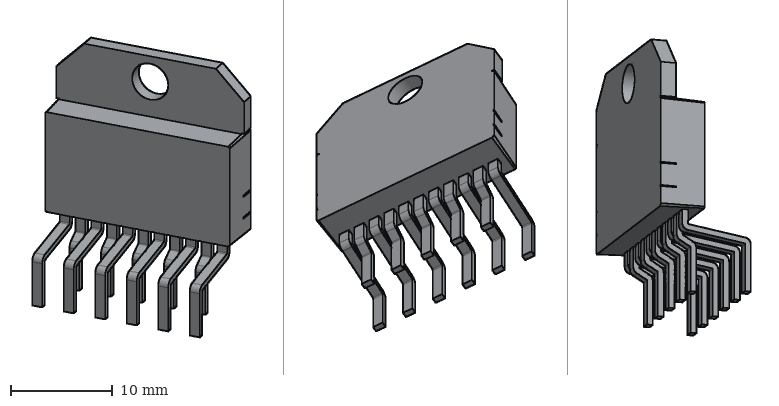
import cadquery as cq
import math

height = 25.3
width = 20.28
depth = 9.69

tab_thickness = 1.6
tab_corner_cut = 3.03
hole_diameter = 3.87
hole_below_top = 2.75

body_bottom = 7.66
body_top = 18.82
body_depth = 4.6
body_draft_angle = 2.2
body_corner_cut = 0.25

groove_heights = (9.7, 12.06)
groove_width = 0.1
groove_depth = 0.1

lead_count = 11
lead_row_length = 17.0
lead_width = 1.1
lead_thickness = 0.6
lead_bend_radius = 0.4
lead_root_y = -2.88
lead_overlap = 0.5
far_lead_y = -depth + lead_thickness / 2
far_lead_bend_height = 6.07
far_lead_slope = 8.5
near_lead_y = -4.3
near_lead_bend_height = 5.45
near_lead_slope = 29.0


def make_tab():
    """Flat plate with two cut upper corners, the mounting hole and a root buried in the body."""
    tab_height = height - body_top
    plate = (
        cq.Workplane("XZ")
        .center(0, height - tab_height / 2)
        .rect(width, tab_height)
        .extrude(tab_thickness)
        .edges("|Y and >Z")
        .chamfer(tab_corner_cut)
    )
    root = (
        cq.Workplane("XZ")
        .center(0, body_top)
        .rect(width - 2 * body_corner_cut, 2 * body_corner_cut)
        .extrude(tab_thickness)
    )
    hole = (
        cq.Workplane("XZ")
        .center(0, height - hole_below_top)
        .circle(hole_diameter / 2)
        .extrude(tab_thickness)
    )
    return plate.union(root).cut(hole)


def make_body():
    """Drafted block with cut corners."""
    body_height = body_top - body_bottom
    outline = (
        cq.Sketch()
        .rect(width, body_height)
        .vertices()
        .chamfer(body_corner_cut)
    )
    return (
        cq.Workplane("XZ", origin=(0, 0, body_bottom + body_height / 2))
        .placeSketch(outline)
        .extrude(body_depth, taper=body_draft_angle)
    )


def make_lead(x, tip_y, bend_height, slope):
    """Flat strip that leaves the body, slopes outwards and then drops to Z = 0."""
    drop = abs(tip_y - lead_root_y) * math.tan(math.radians(slope))
    points = [
        cq.Vector(x, lead_root_y, body_bottom + lead_overlap),
        cq.Vector(x, lead_root_y, bend_height),
        cq.Vector(x, tip_y, bend_height - drop),
        cq.Vector(x, tip_y, 0),
    ]
    straight_path = cq.Wire.makePolygon(points)
    bends = [v for v in straight_path.Vertices() if 0 < v.Z < body_bottom]
    path = straight_path.fillet2D(lead_bend_radius, bends)
    return (
        cq.Workplane("XY", origin=points[0].toTuple())
        .rect(lead_width, lead_thickness)
        .sweep(cq.Workplane(path))
    )


def make_groove(side, groove_height):
    """Cutter centred on the edge between a side face and the mounting face."""
    return cq.Workplane("XY", origin=(side * width / 2, 0, groove_height)).box(
        2 * groove_depth, 2 * tab_thickness, groove_width
    )


result = make_tab().union(make_body())

for side in (-1, 1):
    for groove_height in groove_heights:
        result = result.cut(make_groove(side, groove_height))

for i in range(lead_count):
    lead_x = (i / (lead_count - 1) - 0.5) * lead_row_length
    if i % 2 == 0:
        lead = make_lead(lead_x, far_lead_y, far_lead_bend_height, far_lead_slope)
    else:
        lead = make_lead(lead_x, near_lead_y, near_lead_bend_height, near_lead_slope)
    result = result.union(lead)